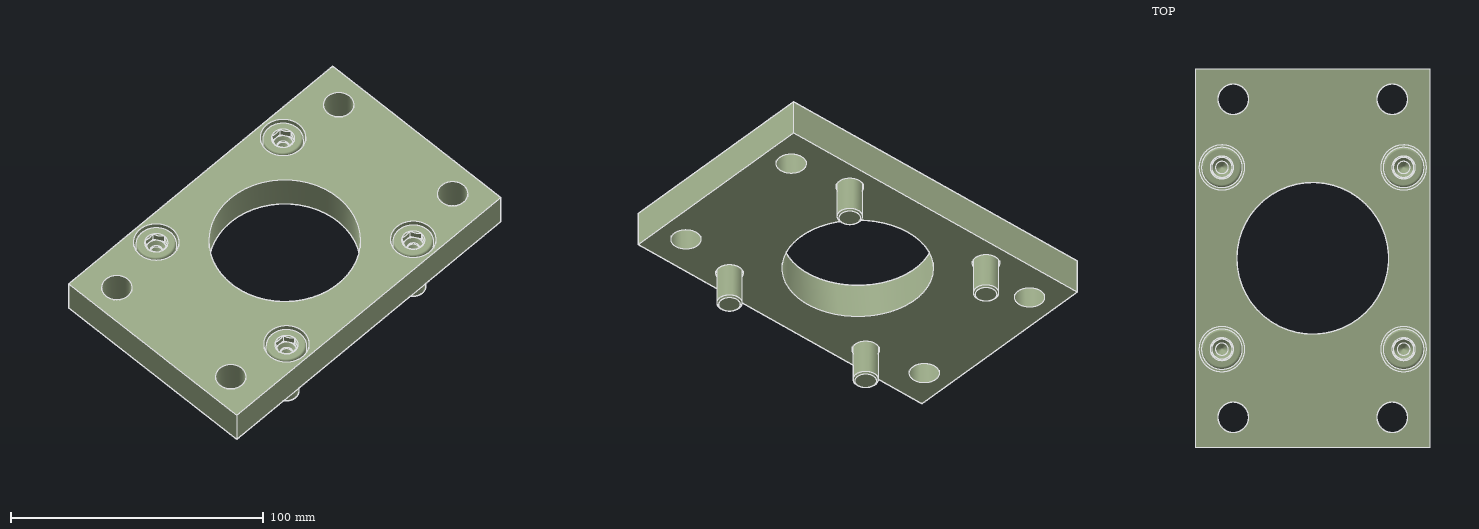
import cadquery as cq
import math

PLATE_X = 93.0
PLATE_Y = 150.0
PLATE_Z = 16.0
BORE_DIA = 60.0
MOUNT_HOLE_DIA = 12.0
MOUNT_PITCH_X = 63.0
MOUNT_PITCH_Y = 126.0

SCREW_PITCH = 72.0
SHANK_DIA = 10.0
SHANK_PROTRUSION = 15.9
SHANK_END_CHAMFER = 0.8
HEAD_DIA = 16.0
HEAD_HEIGHT = 10.0
HEAD_RECESS = 0.5
HEAD_EDGE_RADIUS = 1.0

SOCKET_FLATS = 8.0
SOCKET_CORNERS = SOCKET_FLATS / math.cos(math.pi / 6)
SOCKET_TURN = 30.0
SOCKET_DEPTH = 3.6
SOCKET_MOUTH_SLOPE = 45.0
SOCKET_BOTTOM_SLOPE = 45.0
PILOT_DIA = 5.0
PILOT_DEPTH = 0.9

CLEARANCE_DIA = 11.0
COUNTERBORE_DIA = 18.0
COUNTERBORE_DEPTH = HEAD_HEIGHT + HEAD_RECESS

HEAD_TOP_Z = PLATE_Z - HEAD_RECESS
HEAD_SEAT_Z = PLATE_Z - COUNTERBORE_DEPTH


def rectangle_corners(pitch_x, pitch_y):
    """Four points at the corners of a centred rectangle."""
    return [(sx * pitch_x / 2, sy * pitch_y / 2) for sx in (-1, 1) for sy in (-1, 1)]


SCREW_POINTS = rectangle_corners(SCREW_PITCH, SCREW_PITCH)


def top_plane(plate):
    """Work plane on the top of the plate, centred on the Z axis."""
    return plate.faces(">Z").workplane(origin=(0, 0, PLATE_Z))


def make_plate():
    """Rectangular plate with a central bore, mounting holes and counterbored screw holes."""
    plate = cq.Workplane("XY").box(PLATE_X, PLATE_Y, PLATE_Z, centered=(True, True, False))
    plate = top_plane(plate).hole(BORE_DIA)
    mount_points = rectangle_corners(MOUNT_PITCH_X, MOUNT_PITCH_Y)
    plate = top_plane(plate).pushPoints(mount_points).hole(MOUNT_HOLE_DIA)
    screw_holes = top_plane(plate).pushPoints(SCREW_POINTS)
    return screw_holes.cboreHole(CLEARANCE_DIA, COUNTERBORE_DIA, COUNTERBORE_DEPTH)


def make_cone(dia, top_z, slope):
    """Cone pointing down, with its round face at top_z and its side at the slope to that face."""
    depth = dia / 2 * math.tan(math.radians(slope))
    return cq.Workplane(cq.Solid.makeCone(dia / 2, 0, depth, pnt=(0, 0, top_z), dir=(0, 0, -1)))


def make_socket():
    """Cutting shape of the hexagon socket: countersunk mouth, hexagon, conical bottom and pilot point."""
    floor_z = HEAD_TOP_Z - SOCKET_DEPTH
    hexagon = cq.Workplane("XY").workplane(offset=floor_z).polygon(6, SOCKET_CORNERS).extrude(SOCKET_DEPTH)
    hexagon = hexagon.rotate((0, 0, 0), (0, 0, 1), SOCKET_TURN)

    mouth = make_cone(SOCKET_CORNERS, HEAD_TOP_Z, SOCKET_MOUTH_SLOPE)
    bottom = make_cone(SOCKET_FLATS, floor_z, SOCKET_BOTTOM_SLOPE)

    pilot_top_depth = (SOCKET_FLATS - PILOT_DIA) / 2 * math.tan(math.radians(SOCKET_BOTTOM_SLOPE))
    pilot_top_z = floor_z - pilot_top_depth
    pilot_floor_z = pilot_top_z - PILOT_DEPTH
    pilot_length = floor_z - pilot_floor_z
    pilot = cq.Workplane("XY").workplane(offset=pilot_floor_z).circle(PILOT_DIA / 2).extrude(pilot_length)
    point = make_cone(PILOT_DIA, pilot_floor_z, SOCKET_BOTTOM_SLOPE)
    return hexagon.union(mouth).union(bottom).union(pilot).union(point)


def make_screw(x, y):
    """Socket-head screw, seated in the counterbore at (x, y)."""
    head = cq.Workplane("XY").workplane(offset=HEAD_SEAT_Z).circle(HEAD_DIA / 2).extrude(HEAD_HEIGHT)
    head = head.faces(">Z").edges().fillet(HEAD_EDGE_RADIUS)
    shank = (
        cq.Workplane("XY")
        .workplane(offset=-SHANK_PROTRUSION)
        .circle(SHANK_DIA / 2)
        .extrude(SHANK_PROTRUSION + HEAD_SEAT_Z)
        .faces("<Z")
        .chamfer(SHANK_END_CHAMFER)
    )
    screw = head.union(shank).cut(make_socket())
    return screw.translate((x, y, 0))


plate = make_plate()
screws = [make_screw(x, y) for x, y in SCREW_POINTS]

result = cq.Compound.makeCompound([plate.val(), *[screw.val() for screw in screws]])